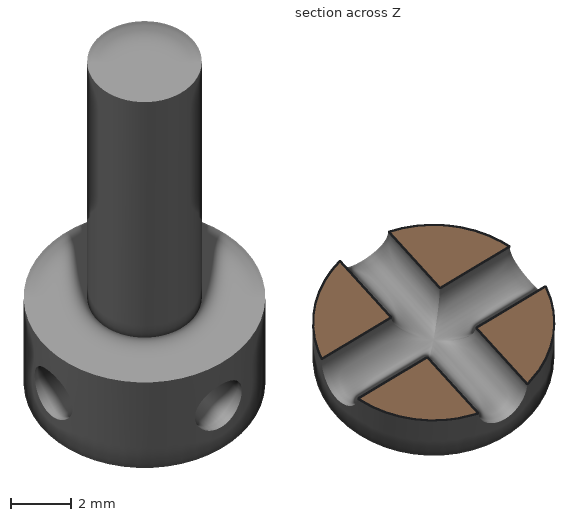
import cadquery as cq

total_height = 15.0
head_diameter = 8.0
head_height = head_diameter / 2
shank_diameter = 3.8

cross_hole_diameter = 2.0
cross_hole_height = head_height / 2


def cross_hole(plane):
    """Cylinder through the full head width, centred on the part axis."""
    return (
        cq.Workplane(plane, origin=(0, 0, cross_hole_height))
        .circle(cross_hole_diameter / 2)
        .extrude(head_diameter, both=True)
    )


head = cq.Workplane("XY").circle(head_diameter / 2).extrude(head_height)
shank = (
    cq.Workplane("XY", origin=(0, 0, head_height))
    .circle(shank_diameter / 2)
    .extrude(total_height - head_height)
)
result = head.union(shank)

for plane in ("YZ", "XZ"):
    result = result.cut(cross_hole(plane))